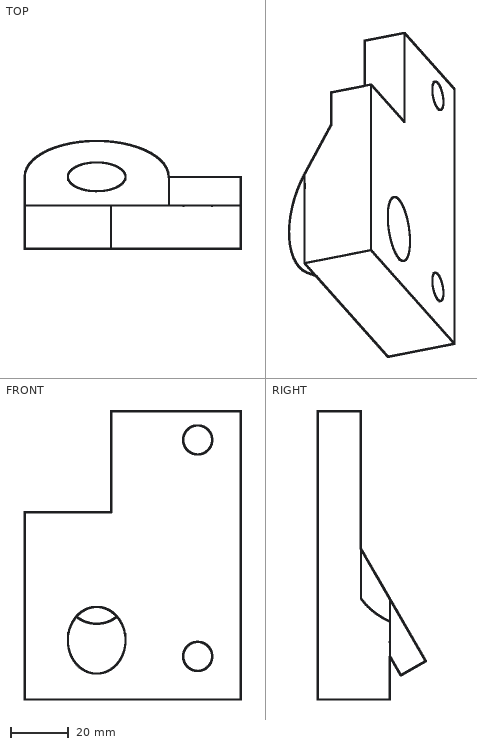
import cadquery as cq
import math

width = 75
height = 100
plate_depth = 15
notch_width = 30
shoulder_height = 65

block_depth = 25
block_height = 35

cove_radius = 25
cove_center_y = 35
cove_center_z = 50

lug_tilt = math.radians(30)
lug_width = 50
lug_radius = lug_width / 2
lug_thickness = 10
lug_hole_diameter = 20

mount_diameter = 10
mount_x = 60
mount_heights = (15, 90)

slope_top_z = block_height + (block_depth - plate_depth) / math.tan(lug_tilt)
lug_plane = cq.Plane(
    origin=(lug_radius, block_depth, block_height),
    xDir=(1, 0, 0),
    normal=(0, math.cos(lug_tilt), math.sin(lug_tilt)),
)


def make_plate():
    outline = [
        (0, 0),
        (width, 0),
        (width, height),
        (notch_width, height),
        (notch_width, shoulder_height),
        (0, shoulder_height),
    ]
    return cq.Workplane("XZ").polyline(outline).close().extrude(-plate_depth)


def make_block():
    block = cq.Workplane("XY").box(width, block_depth, block_height, centered=False)
    cove = cq.Workplane("YZ").center(cove_center_y, cove_center_z).circle(cove_radius).extrude(width)
    return block.cut(cove)


def make_lug():
    """Wedge against the plate, ending in a round disc on the sloping face."""
    side_profile = [
        (0, 0),
        (block_depth, 0),
        (block_depth, block_height),
        (plate_depth, slope_top_z),
        (0, slope_top_z),
    ]
    wedge = cq.Workplane("YZ").polyline(side_profile).close().extrude(lug_width)
    disc = cq.Workplane(lug_plane).circle(lug_radius).extrude(-lug_thickness)
    return wedge.union(disc)


def make_lug_hole():
    """Bore square to the sloping face, long enough to leave the plate's front."""
    return cq.Workplane(lug_plane).circle(lug_hole_diameter / 2).extrude(-2 * block_depth)


def make_mount_holes():
    centers = [(mount_x, z) for z in mount_heights]
    return cq.Workplane("XZ").pushPoints(centers).circle(mount_diameter / 2).extrude(-block_depth)


body = make_plate().union(make_block()).union(make_lug())
result = body.cut(make_lug_hole()).cut(make_mount_holes())